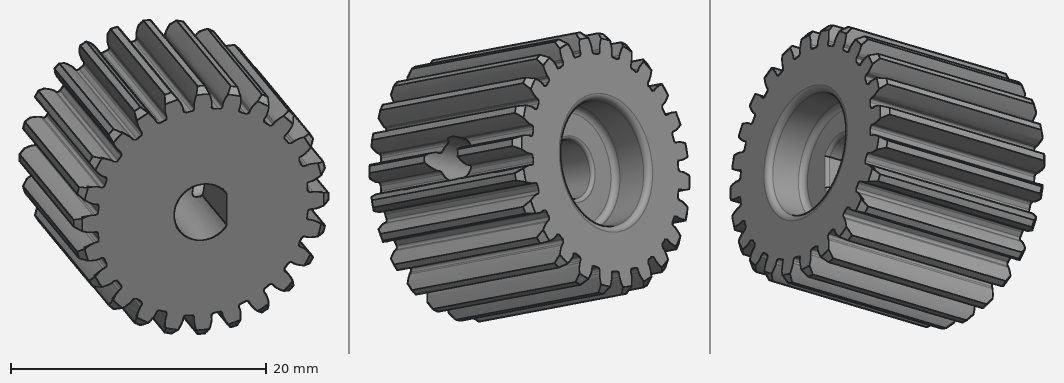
import cadquery as cq
import math

TEETH = 24
OUTER_R = 10.4
MODULE = 2 * OUTER_R / (TEETH + 2)
PRESSURE_ANGLE = math.radians(20)
FACE_WIDTH = 16.0
PITCH_R = MODULE * TEETH / 2
ROOT_R = PITCH_R - 1.25 * MODULE
BASE_R = PITCH_R * math.cos(PRESSURE_ANGLE)
ROOT_FILLET = 0.3 * MODULE
FLANK_POINTS = 6

TIP_BEVEL_LENGTH = 0.5
TIP_BEVEL_HEIGHT = 0.55

RECESS_R = 5.0
RECESS_DEPTH = 3.5
RECESS_FILLET = 0.5

BORE_R = 2.35
FLAT_Y = 1.95
BORE_FILLET = 0.3

SCREW_HOLE_D = 3.5

PICK_MARGIN = 0.2


def involute(angle):
    """Involute function: tan(angle) - angle."""
    return math.tan(angle) - angle


BASE_HALF_ANGLE = math.pi / (2 * TEETH) + involute(PRESSURE_ANGLE)
PITCH_ANGLE = 2 * math.pi / TEETH


def polar(radius, angle):
    return radius * math.cos(angle), radius * math.sin(angle)


def flank(center_angle, side):
    """Involute points from base to tip; side is -1 or +1 about the tooth centre."""
    points = []
    for i in range(FLANK_POINTS):
        radius = BASE_R + (OUTER_R - BASE_R) * (i / (FLANK_POINTS - 1)) ** 2
        half_angle = BASE_HALF_ANGLE - involute(math.acos(BASE_R / radius))
        points.append(polar(radius, center_angle + side * half_angle))
    return points


def toothed_blank():
    fillet_center_r = ROOT_R + ROOT_FILLET
    fillet_angle = math.asin(ROOT_FILLET / fillet_center_r)
    fillet_top_r = fillet_center_r * math.cos(fillet_angle)
    mid_turn = (math.pi / 2 + fillet_angle) / 2

    def fillet_middle(edge_angle, side):
        """Point halfway round the root fillet on the given side of a tooth."""
        y, z = polar(fillet_center_r, edge_angle + side * fillet_angle)
        dy, dz = polar(ROOT_FILLET, edge_angle + math.pi + side * mid_turn)
        return y + dy, z + dz

    outline = cq.Workplane("YZ").moveTo(*polar(fillet_top_r, -BASE_HALF_ANGLE))
    for i in range(TEETH):
        center = i * PITCH_ANGLE
        next_center = center + PITCH_ANGLE
        rising = flank(center, -1)
        falling = flank(center, 1)[::-1]
        end_angle = center + BASE_HALF_ANGLE
        next_angle = next_center - BASE_HALF_ANGLE
        outline = (
            outline.lineTo(*rising[0])
            .spline(rising[1:], includeCurrent=True)
            .threePointArc(polar(OUTER_R, center), falling[0])
            .spline(falling[1:], includeCurrent=True)
            .lineTo(*polar(fillet_top_r, end_angle))
            .threePointArc(fillet_middle(end_angle, 1), polar(ROOT_R, end_angle + fillet_angle))
            .threePointArc(
                polar(ROOT_R, center + PITCH_ANGLE / 2),
                polar(ROOT_R, next_angle - fillet_angle),
            )
            .threePointArc(fillet_middle(next_angle, -1), polar(fillet_top_r, next_angle))
        )
    return outline.close().extrude(FACE_WIDTH)


def bevelled_envelope():
    """Plain cylinder bevelled at both ends, which trims the tooth tips."""
    face_r = OUTER_R - TIP_BEVEL_HEIGHT
    profile = [
        (0, 0),
        (0, face_r),
        (TIP_BEVEL_LENGTH, OUTER_R),
        (FACE_WIDTH - TIP_BEVEL_LENGTH, OUTER_R),
        (FACE_WIDTH, face_r),
        (FACE_WIDTH, 0),
    ]
    return cq.Workplane("XY").polyline(profile).close().revolve(360, (0, 0), (1, 0))


def recess():
    """Recess with a rounded mouth and a rounded floor corner."""
    bend = RECESS_FILLET * math.sqrt(0.5)
    mouth_r = RECESS_R + RECESS_FILLET
    floor_r = RECESS_R - RECESS_FILLET
    return (
        cq.Workplane("XY")
        .lineTo(0, mouth_r)
        .threePointArc((RECESS_FILLET - bend, mouth_r - bend), (RECESS_FILLET, RECESS_R))
        .lineTo(RECESS_DEPTH - RECESS_FILLET, RECESS_R)
        .threePointArc(
            (RECESS_DEPTH - RECESS_FILLET + bend, floor_r + bend),
            (RECESS_DEPTH, floor_r),
        )
        .lineTo(RECESS_DEPTH, 0)
        .close()
        .revolve(360, (0, 0), (1, 0))
    )


def d_bore():
    corner_z = math.sqrt(BORE_R**2 - FLAT_Y**2)
    return (
        cq.Workplane("YZ")
        .moveTo(FLAT_Y, -corner_z)
        .lineTo(FLAT_Y, corner_z)
        .threePointArc((-BORE_R, 0), (FLAT_Y, -corner_z))
        .close()
        .extrude(FACE_WIDTH)
    )


def screw_hole():
    return (
        cq.Workplane("XZ")
        .center(FACE_WIDTH / 2, 0)
        .circle(SCREW_HOLE_D / 2)
        .extrude(-OUTER_R)
    )


gear = toothed_blank().intersect(bevelled_envelope())
gear = gear.cut(recess()).cut(d_bore())

reach = BORE_R + PICK_MARGIN
bore_mouth = cq.selectors.BoxSelector(
    (RECESS_DEPTH - PICK_MARGIN, -reach, -reach),
    (RECESS_DEPTH + PICK_MARGIN, reach, reach),
    boundingbox=True,
)
gear = gear.edges(bore_mouth).fillet(BORE_FILLET)

result = gear.cut(screw_hole())